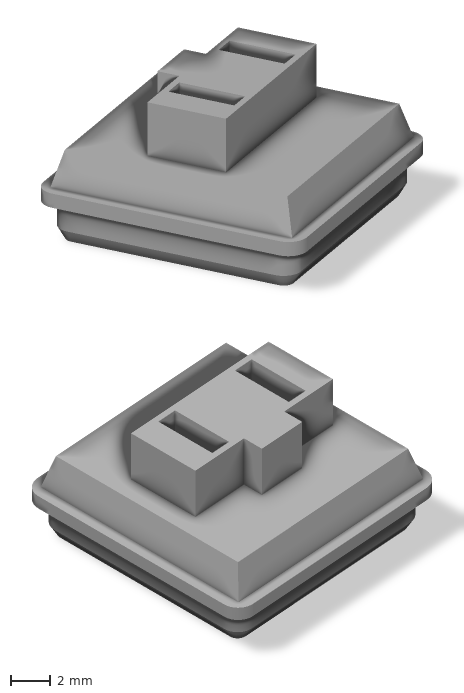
import cadquery as cq
import math

flange_side = 15.0
flange_thickness = 0.8
flange_corner_radius = 1.05
tray_side = 13.75
tray_height = 2.2
tray_corner_radius = 0.98
bottom_chamfer_height = 0.74
bottom_chamfer_width = 0.42

cover_foot_side = tray_side
cover_top_side = 12.66
cover_height = 2.0

stem_width = 4.47
stem_length = 10.23
stem_height = 3.0
tab_reach = 1.25
tab_length = 3.0
slot_width = 3.75
slot_length = 1.25
slot_centre_y = 2.85

cover_foot_z = tray_height + flange_thickness
cover_top_z = cover_foot_z + cover_height


def rounded_square(side, height, corner_radius, bottom_z):
    """Square block with rounded vertical edges, centred on the Z axis."""
    block = cq.Workplane("XY").workplane(offset=bottom_z).rect(side, side).extrude(height)
    return block.edges("|Z").fillet(corner_radius)


def make_base():
    """Tray with a chamfered underside, carrying the wider flange."""
    tray = rounded_square(tray_side, tray_height, tray_corner_radius, 0)
    underside_edges = tray.faces("<Z").edges().vals()
    chamfered = tray.val().chamfer(bottom_chamfer_height, bottom_chamfer_width, underside_edges)
    flange = rounded_square(flange_side, flange_thickness, flange_corner_radius, tray_height)
    return flange.union(cq.Workplane(obj=chamfered))


def make_cover():
    """Frustum with four sloping sides, resting on the flange."""
    side_inset = (cover_foot_side - cover_top_side) / 2
    slope = math.degrees(math.atan2(side_inset, cover_height))
    foot = cq.Workplane("XY").workplane(offset=cover_foot_z).rect(cover_foot_side, cover_foot_side)
    return foot.extrude(cover_height, taper=slope)


def make_stem():
    """Bar with a side tab, standing on the cover, with two slots through its height."""
    plane = cq.Workplane("XY").workplane(offset=cover_top_z)
    bar = plane.rect(stem_width, stem_length).extrude(stem_height)
    tab_centre_x = -(stem_width + tab_reach) / 2
    tab = plane.center(tab_centre_x, 0).rect(tab_reach, tab_length).extrude(stem_height)
    slot_centres = [(0, slot_centre_y), (0, -slot_centre_y)]
    slots = plane.pushPoints(slot_centres).rect(slot_width, slot_length).extrude(stem_height)
    return bar.union(tab).cut(slots)


base = make_base()
cover = make_cover()
stem = make_stem()

result = cq.Compound.makeCompound([base.val(), cover.val(), stem.val()])